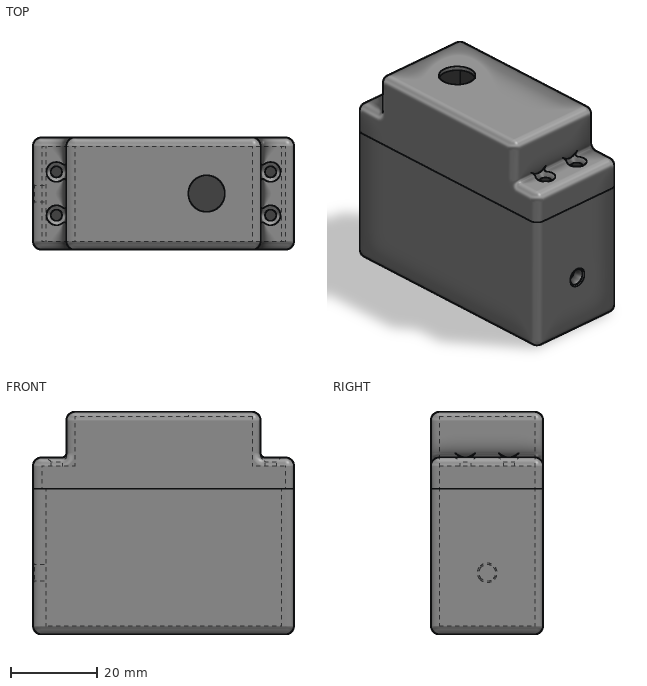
import cadquery as cq

LENGTH = 60.5
WIDTH = 26.0
HEIGHT = 51.6
SEAM_HEIGHT = 33.7
SHOULDER_HEIGHT = 41.0
TOWER_LENGTH = 45.0
EDGE_RADIUS = 2.0
FOOT_RADIUS = 0.95

END_WALL = 3.0
WALL = 2.0
ROOF = 1.0

ROOF_HOLE_DIAMETER = 8.5
ROOF_HOLE_X = 10.0

SIDE_HOLE_DIAMETER = 3.9
SIDE_HOLE_CHAMFER = 0.33
SIDE_HOLE_HEIGHT = 14.35

SCREW_DIAMETER = 2.6
SINK_DIAMETER = 4.6
SCREW_X = 24.8
SCREW_Y = 5.0


def block(length, width, bottom, top):
    """Box centred on the Z axis between two heights."""
    return cq.Workplane("XY", origin=(0, 0, bottom)).box(
        length, width, top - bottom, centered=(True, True, False)
    )


def make_housing():
    """Open-topped box with a chamfered hole through its -X wall."""
    outer = block(LENGTH, WIDTH, 0, SEAM_HEIGHT)
    outer = outer.edges("|Z or <Z").fillet(EDGE_RADIUS)
    inner_length = LENGTH - 2 * END_WALL
    inner_width = WIDTH - 2 * WALL
    cavity = block(inner_length, inner_width, WALL, SEAM_HEIGHT)

    wall_face = cq.Workplane("YZ", origin=(-LENGTH / 2, 0, SIDE_HOLE_HEIGHT))
    hole_radius = SIDE_HOLE_DIAMETER / 2
    side_hole = wall_face.circle(hole_radius).extrude(END_WALL)
    mouth = wall_face.circle(hole_radius + SIDE_HOLE_CHAMFER).extrude(SIDE_HOLE_CHAMFER, taper=45)
    return outer.cut(cavity).cut(side_hole).cut(mouth)


def tower_block():
    """Sharp-edged block of the raised middle part of the lid."""
    return block(TOWER_LENGTH, WIDTH, SEAM_HEIGHT, HEIGHT)


def lid_outside():
    """Stepped lid blank, rounded everywhere but on the seam."""
    shoulders = block(LENGTH, WIDTH, SEAM_HEIGHT, SHOULDER_HEIGHT)
    blank = shoulders.union(tower_block()).clean()
    foot_zone = cq.selectors.BoxSelector(
        (-TOWER_LENGTH / 2 - FOOT_RADIUS, -WIDTH, SHOULDER_HEIGHT - FOOT_RADIUS),
        (TOWER_LENGTH / 2 + FOOT_RADIUS, WIDTH, SHOULDER_HEIGHT + FOOT_RADIUS),
    )
    blank = blank.edges("|Y").edges(foot_zone).fillet(FOOT_RADIUS)
    long_side_edges = blank.faces("<Y or >Y").edges("not <Z")
    cross_edges = blank.edges("|Y").edges("<X or >X or >Z").edges("not <Z")
    return long_side_edges.add(cross_edges).fillet(EDGE_RADIUS)


def lid_cavity():
    """Stepped hollow that follows the shoulders and the tower."""
    inner_width = WIDTH - 2 * WALL
    lower = block(LENGTH - 2 * WALL, inner_width, SEAM_HEIGHT, SHOULDER_HEIGHT - WALL)
    upper = block(TOWER_LENGTH - 2 * WALL, inner_width, SEAM_HEIGHT, HEIGHT - ROOF)
    return lower.union(upper)


def screw_cutter(x, y):
    """Screw hole with a 90 degree countersink that also clears the foot fillet but not the tower."""
    hole_radius = SCREW_DIAMETER / 2
    sink_depth = SINK_DIAMETER / 2 - hole_radius
    cone_height = sink_depth + FOOT_RADIUS
    cone_base = cq.Vector(x, y, SHOULDER_HEIGHT - sink_depth)
    cone = cq.Solid.makeCone(hole_radius, hole_radius + cone_height, cone_height, cone_base)
    hole_base = cq.Vector(x, y, SHOULDER_HEIGHT - WALL)
    hole = cq.Solid.makeCylinder(hole_radius, WALL, hole_base)
    return cq.Workplane(cone).cut(tower_block()).union(cq.Workplane(hole))


def make_lid():
    """Hollow stepped lid with a roof hole and four countersunk screw holes."""
    lid = lid_outside().cut(lid_cavity())
    roof_underside = cq.Workplane("XY", origin=(ROOF_HOLE_X, 0, HEIGHT - ROOF))
    lid = lid.cut(roof_underside.circle(ROOF_HOLE_DIAMETER / 2).extrude(ROOF))
    for x in (-SCREW_X, SCREW_X):
        for y in (-SCREW_Y, SCREW_Y):
            lid = lid.cut(screw_cutter(x, y))
    return lid


housing = make_housing()
lid = make_lid()

result = cq.Compound.makeCompound([housing.solids().val(), lid.solids().val()])